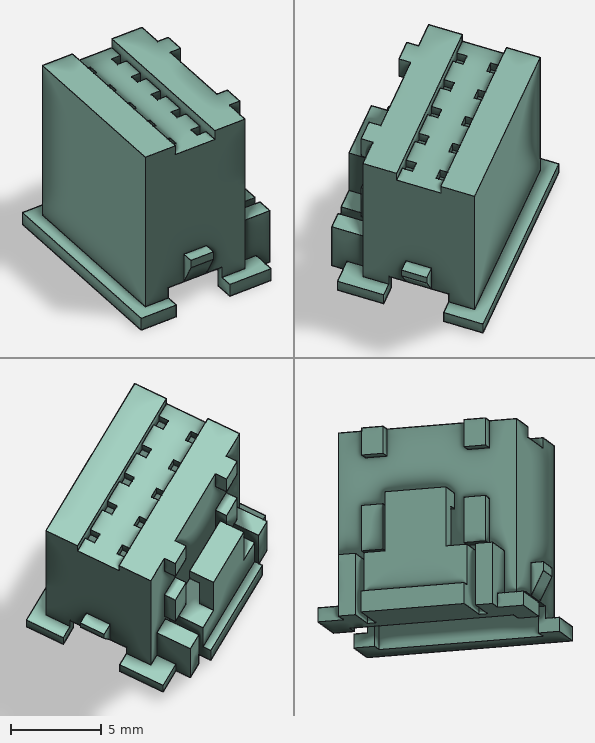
import cadquery as cq

total_length = 12.0
total_depth = 10.0
total_height = 11.0
body_length = 10.4
body_depth = 6.6
flange_thickness = 0.8
flange_overhang = (total_length - body_length) / 2
body_front = flange_overhang
body_back = body_front + body_depth
body_middle = (body_front + body_back) / 2

notch_width = 3.54
notch_height = 1.5
end_wall = 0.42
side_wall = 0.75

groove_width = 2.6
groove_depth = 0.6
pocket_count = 5
pocket_pitch = 2.0
pocket_width = 0.61
pocket_reach = 0.6
pocket_depth = 0.6

catch_reach = 0.71
catch_width = 1.5
catch_top = 3.38
catch_face_height = 0.5

rear_flange_back = 8.6
rear_face = 9.5
block_height = 3.5
post_inner = 3.5
post_width = 1.0
lever_width = 6.02
foot_height = 1.2
arm_width = 3.55
arm_thickness = rear_face - rear_flange_back
arm_top = 6.88
hook_reach = 1.5
hook_height = 0.9
rib_inner = 2.36
rib_width = 1.25
rib_reach = 0.7
top_rib_height = 1.55
low_rib_bottom = 3.98
low_rib_height = 2.59


def block(x_range, y_range, z_range):
    """Box spanning the given (low, high) limits along each axis."""
    limits = (x_range, y_range, z_range)
    low_corner = tuple(low for low, high in limits)
    size = [high - low for low, high in limits]
    return cq.Workplane("XY").box(*size, centered=False).translate(low_corner)


def centered_block(length, y_range, z_range):
    """Block centered on the YZ plane."""
    return block((-length / 2, length / 2), y_range, z_range)


def both_ends(shape):
    """Shape together with its mirror image across the YZ plane."""
    return shape.union(shape.mirror("YZ"))


def housing():
    """Body on its flanges, with the underside notched across and hollowed out."""
    notch_front = body_middle - notch_width / 2
    notch_back = body_middle + notch_width / 2
    body = centered_block(body_length, (body_front, body_back), (0, total_height))
    front_flange = centered_block(total_length, (0, notch_front), (0, flange_thickness))
    rear_flange = block(
        (post_inner + post_width, total_length / 2),
        (notch_back, rear_flange_back),
        (0, flange_thickness),
    )
    notch = centered_block(total_length, (notch_front, notch_back), (0, notch_height))
    cavity = centered_block(
        body_length - 2 * end_wall,
        (body_front + side_wall, body_back - side_wall),
        (0, notch_height),
    )
    return body.union(front_flange).union(both_ends(rear_flange)).cut(notch).cut(cavity)


def top_groove():
    """Groove volume along the top, with the contact pockets sunk below it."""
    front = body_middle - groove_width / 2
    back = body_middle + groove_width / 2
    floor = total_height - groove_depth
    groove = centered_block(body_length, (front, back), (floor, total_height))
    for index in range(pocket_count):
        x = (index - (pocket_count - 1) / 2) * pocket_pitch
        for y_range in ((front, front + pocket_reach), (back - pocket_reach, back)):
            pocket = block(
                (x - pocket_width / 2, x + pocket_width / 2),
                y_range,
                (floor - pocket_depth, floor),
            )
            groove = groove.union(pocket)
    return groove


def end_catches():
    """Catches with a flat top and a lower face that slopes back into the body."""
    wall = body_length / 2
    tip = wall + catch_reach
    outline = [
        (wall, notch_height),
        (tip, catch_top - catch_face_height),
        (tip, catch_top),
        (wall, catch_top),
    ]
    catch = cq.Workplane("XZ", origin=(0, body_middle, 0)).polyline(outline).close()
    return both_ends(catch.extrude(catch_width / 2, both=True))


def rear_posts():
    """Two upright posts on the back wall."""
    post = block((post_inner, post_inner + post_width), (body_back, rear_face), (0, block_height))
    return both_ends(post)


def rear_ribs():
    """A short top rib above a lower rib, on each side of the latch."""
    top_bottom = total_height - top_rib_height
    low_top = low_rib_bottom + low_rib_height
    x_range = (rib_inner, rib_inner + rib_width)
    y_range = (body_back, body_back + rib_reach)
    top_rib = block(x_range, y_range, (top_bottom, total_height))
    low_rib = block(x_range, y_range, (low_rib_bottom, low_top))
    return both_ends(top_rib.union(low_rib))


def latch():
    """Central latch: base block with a foot, and an arm hooked towards the body."""
    base = centered_block(lever_width, (body_back, rear_face), (0, block_height))
    foot = centered_block(lever_width, (rear_face, total_depth), (0, foot_height))
    arm = centered_block(arm_width, (rear_face - arm_thickness, rear_face), (block_height, arm_top))
    hook = centered_block(arm_width, (rear_face - hook_reach, rear_face), (arm_top - hook_height, arm_top))
    return base.union(foot).union(arm).union(hook)


result = housing().cut(top_groove())
for feature in (end_catches(), rear_posts(), rear_ribs(), latch()):
    result = result.union(feature)